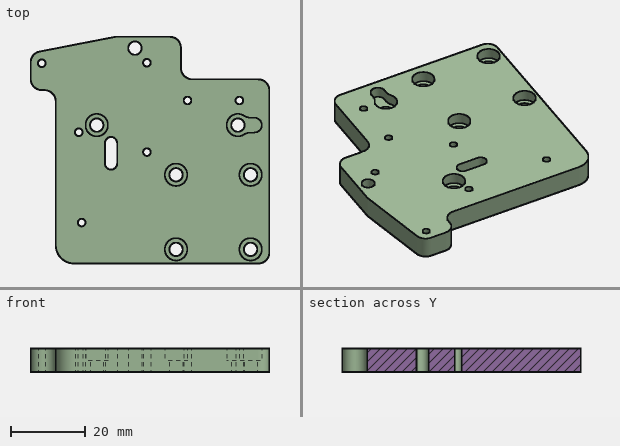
import cadquery as cq
import math

length = 64.0
width = 60.8
thickness = 6.35

body_left = 6.7
tab_bottom = 46.45
tab_corner_height = 56.4
slope_end = 22.7
step_wall = 40.3
shoulder = 49.4
corner_radius = 3.0
large_corner_radius = 5.0

small_hole_diameter = 2.0
small_hole_centers = [
    (3.0, 53.7),
    (31.2, 53.8),
    (42.05, 43.7),
    (55.95, 43.7),
    (12.9, 35.2),
    (31.2, 29.9),
    (13.7, 11.0),
]
screw_hole_diameter = 3.5
plain_screw_hole_center = (28.0, 57.7)

counterbore_diameter = 6.0
counterbore_depth = 3.2
group_pitch = 20.0
group_left = 39.0
group_bottom = 3.85
upper_row = 37.1
upper_left_center = (17.7, upper_row)
keyed_center = (55.55, upper_row)
group_centers = [
    (group_left + column * group_pitch, group_bottom + row * group_pitch)
    for column in range(2)
    for row in range(2)
]
counterbore_centers = group_centers + [upper_left_center]
screw_hole_centers = counterbore_centers + [keyed_center, plain_screw_hole_center]

relief_width = 4.0
relief_end = 61.95
neck_radius = 3.0

slot_center = (21.6, 29.6)
slot_length = 8.7
slot_width = 3.2


def round_corner(plate, x, y, radius):
    """Round the vertical edge that stands at (x, y)."""
    edge = cq.selectors.NearestToPointSelector((x, y, thickness / 2))
    return plate.edges("|Z").edges(edge).fillet(radius)


def make_plate():
    rounded_corners = [
        (length, 0),
        (length, shoulder),
        (step_wall, shoulder),
        (step_wall, width),
        (0, tab_corner_height),
        (0, tab_bottom),
        (body_left, tab_bottom),
    ]
    outline = [(body_left, 0)] + rounded_corners[:4] + [(slope_end, width)] + rounded_corners[4:]
    plate = cq.Workplane("XY").polyline(outline).close().extrude(thickness)
    for x, y in rounded_corners:
        plate = round_corner(plate, x, y, corner_radius)
    return round_corner(plate, body_left, 0, large_corner_radius)


def make_cylinders(centers, diameter, bottom=0.0):
    """Cylinders from the given height up to the top face."""
    base = cq.Workplane("XY").workplane(offset=bottom)
    return base.pushPoints(centers).circle(diameter / 2).extrude(thickness - bottom)


def make_keyed_pocket(bottom):
    """Counterbore and round-ended relief, blended where their walls meet."""
    end_center = relief_end - relief_width / 2
    straight = end_center - keyed_center[0]
    middle = (keyed_center[0] + end_center) / 2
    relief = (
        cq.Workplane("XY")
        .workplane(offset=bottom)
        .center(middle, upper_row)
        .slot2D(straight + relief_width, relief_width)
        .extrude(thickness - bottom)
    )
    pocket = make_cylinders([keyed_center], counterbore_diameter, bottom).union(relief)
    neck_x = keyed_center[0] + math.sqrt(counterbore_diameter**2 - relief_width**2) / 2
    for side in (-1, 1):
        neck_y = upper_row + side * relief_width / 2
        pocket = round_corner(pocket, neck_x, neck_y, neck_radius)
    return pocket


counterbore_floor = thickness - counterbore_depth
slot = cq.Workplane("XY").center(*slot_center).slot2D(slot_length, slot_width, 90).extrude(thickness)

result = (
    make_plate()
    .cut(make_cylinders(small_hole_centers, small_hole_diameter))
    .cut(make_cylinders(screw_hole_centers, screw_hole_diameter))
    .cut(make_cylinders(counterbore_centers, counterbore_diameter, counterbore_floor))
    .cut(make_keyed_pocket(counterbore_floor))
    .cut(slot)
)